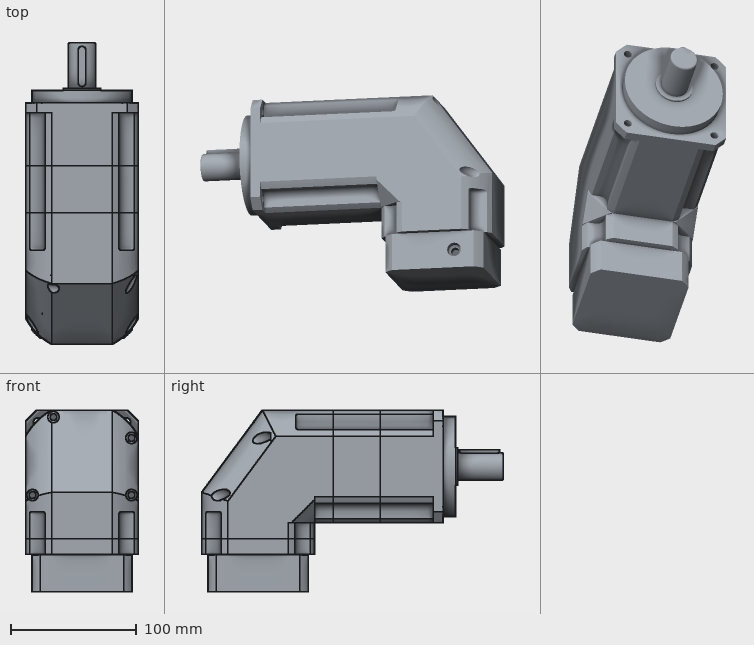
import cadquery as cq
import math


SQUARE = 90.0
HALF = SQUARE / 2
ROUND_RADIUS = 51.0

BOLT_CIRCLE_DIAMETER = 100.0
BOLT_OFFSET = BOLT_CIRCLE_DIAMETER / 2 / math.sqrt(2)
BOLT_HOLE_DIAMETER = 6.5
GROOVE_RADIUS = 6.0
GROOVE_EDGE = BOLT_OFFSET - GROOVE_RADIUS
GROOVE_END_FILLET = 2.2

SHAFT_TIP_Y = 195.5
COLLAR_FRONT_Y = SHAFT_TIP_Y - 36.3
PILOT_FRONT_Y = SHAFT_TIP_Y - 38.0
FLANGE_FRONT_Y = SHAFT_TIP_Y - 48.0
FLANGE_BACK_Y = FLANGE_FRONT_Y - 8.0
RING_FRONT_Y = SHAFT_TIP_Y - 98.0
ELBOW_FRONT_Y = SHAFT_TIP_Y - 135.75
ARM_GROOVE_END_Y = SHAFT_TIP_Y - 165.5

LEG_GROOVE_TOP_Z = -35.9
PLATE_TOP_Z = -57.5
PLATE_BOTTOM_Z = -70.0
ADAPTER_TOP_Z = PLATE_BOTTOM_Z - 0.5
ADAPTER_BOTTOM_Z = -100.0

BEVEL_TOP_Y = 3.5
BEVEL_BOTTOM_Z = -20.6
INNER_CORNER_CUT = 18.5

FLANGE_CORNER_CUT = 8.75
PILOT_DIAMETER = 80.0
COLLAR_DIAMETER = 30.0
SHAFT_DIAMETER = 22.0
SHAFT_TIP_FILLET = 1.5

KEY_WIDTH = 6.0
KEY_HEIGHT = 6.0
KEY_LENGTH = 32.0
KEY_TIP_GAP = 3.0
KEY_TOP_Z = 13.5

SCREW_CIRCLE_RADIUS = 45.5
SCREW_ANGLES = (-30, 30, 120, 210)
SCREW_HEAD_DIAMETER = 9.0
SCREW_HOLE_DIAMETER = 5.5
SCREW_SEAT_Y = 10.0

ADAPTER_SQUARE = 80.0
ADAPTER_ROUND_RADIUS = 52.0
ADAPTER_SPIGOT_DIAMETER = 70.0
ACCESS_HOLE_Y = -17.2
ACCESS_HOLE_Z = -85.5
ACCESS_HOLE_TILT = 5.0
ACCESS_HOLE_DIAMETER = 11.0
ACCESS_HOLE_DEPTH = 8.0
CLAMP_HOLE_DIAMETER = 6.5
CLAMP_HOLE_DEPTH = 16.0

REACH = 400.0


def arm_plane(y):
    """Plane across the arm, normal along +Y, with its local y axis along +Z."""
    return cq.Plane(origin=(0, y, 0), xDir=(-1, 0, 0), normal=(0, 1, 0))


def leg_plane(z):
    """Plane across the leg, normal along +Z, with its local y axis along +Y."""
    return cq.Plane(origin=(0, 0, z), xDir=(1, 0, 0), normal=(0, 0, 1))


def bevel_plane():
    """Plane across the bevel, with its local y axis pointing inward from the bevel face."""
    length = math.hypot(BEVEL_TOP_Y + HALF, HALF - BEVEL_BOTTOM_Z)
    along_y = -(BEVEL_TOP_Y + HALF) / length
    along_z = -(HALF - BEVEL_BOTTOM_Z) / length
    axis_y = BEVEL_TOP_Y - HALF * along_z
    axis_z = HALF + HALF * along_y
    start = (0, axis_y - along_y * REACH / 2, axis_z - along_z * REACH / 2)
    return cq.Plane(origin=start, xDir=(-1, 0, 0), normal=(0, along_y, along_z))


def slab(y_min, y_max, z_min, z_max):
    """Block between two Y stations and two Z stations, as wide as the housing."""
    centre = (0, (y_min + y_max) / 2, (z_min + z_max) / 2)
    return cq.Workplane("XY").box(SQUARE, y_max - y_min, z_max - z_min).translate(centre)


def rounded_bar(plane, length, square=SQUARE, round_radius=ROUND_RADIUS):
    """Square bar with its corners trimmed by a cylinder on the bar's axis."""
    bar = cq.Workplane(plane).rect(square, square).extrude(length)
    return bar.intersect(cq.Workplane(plane).circle(round_radius).extrude(length))


def outer_envelope(plane, inward):
    """Long rounded bar that is left square and open toward local y = inward * REACH."""
    fill = cq.Workplane(plane).center(0, inward * REACH / 2).rect(SQUARE, REACH).extrude(REACH)
    return rounded_bar(plane, REACH).union(fill)


def corner_groove(plane, length, x_side, y_side):
    """Cutter for one bolt groove: a square corner notch with a round inner corner."""
    rounding = GROOVE_RADIUS * (1 - math.sqrt(0.5))

    def point(x, y):
        return (x_side * x, y_side * y)

    return (
        cq.Workplane(plane)
        .moveTo(*point(SQUARE, GROOVE_EDGE))
        .lineTo(*point(BOLT_OFFSET, GROOVE_EDGE))
        .threePointArc(
            point(GROOVE_EDGE + rounding, GROOVE_EDGE + rounding),
            point(GROOVE_EDGE, BOLT_OFFSET),
        )
        .lineTo(*point(GROOVE_EDGE, SQUARE))
        .lineTo(*point(SQUARE, SQUARE))
        .close()
        .extrude(length)
    )


def make_elbow_knee():
    """Block where arm and leg meet: rounded and bevelled outside, cut at the inside corners."""
    knee = slab(-HALF, HALF, -HALF, HALF)
    knee = knee.intersect(outer_envelope(arm_plane(-REACH / 2), -1))
    knee = knee.intersect(outer_envelope(leg_plane(-REACH / 2), 1))
    knee = knee.intersect(outer_envelope(bevel_plane(), 1))
    for side in (-1, 1):
        cut_plane = cq.Plane(
            origin=(side * (HALF - INNER_CORNER_CUT), HALF, -HALF),
            xDir=(0, 1, 1),
            normal=(side, 1, -1),
        )
        knee = knee.cut(cq.Workplane(cut_plane).rect(SQUARE, SQUARE).extrude(HALF))
    return knee


def make_housing_block():
    """The whole arm, knee and leg with their bolt grooves, before it is split into bodies."""
    arm_length = FLANGE_BACK_Y - HALF
    leg_length = -HALF - PLATE_BOTTOM_Z
    block = make_elbow_knee()
    block = block.union(rounded_bar(arm_plane(HALF), arm_length))
    block = block.union(rounded_bar(leg_plane(PLATE_BOTTOM_Z), leg_length))

    for side in (-1, 1):
        arm_top = corner_groove(arm_plane(ARM_GROOVE_END_Y), FLANGE_BACK_Y - ARM_GROOVE_END_Y, side, 1)
        arm_top = arm_top.faces("<Y").edges().fillet(GROOVE_END_FILLET)
        arm_bottom = corner_groove(arm_plane(HALF), arm_length, side, -1)
        leg_back = corner_groove(leg_plane(PLATE_BOTTOM_Z), LEG_GROOVE_TOP_Z - PLATE_BOTTOM_Z, side, -1)
        leg_back = leg_back.faces(">Z").edges().fillet(GROOVE_END_FILLET)
        leg_front = corner_groove(leg_plane(PLATE_BOTTOM_Z), leg_length, side, 1)
        block = block.cut(arm_top).cut(arm_bottom).cut(leg_back).cut(leg_front)
    return block


def make_output_housing(block):
    """Front part of the arm with its mounting flange and round pilot."""
    flange = (
        cq.Workplane(arm_plane(FLANGE_BACK_Y))
        .rect(SQUARE, SQUARE)
        .extrude(FLANGE_FRONT_Y - FLANGE_BACK_Y)
        .edges("|Y")
        .chamfer(FLANGE_CORNER_CUT)
        .faces(">Y")
        .workplane()
        .rect(2 * BOLT_OFFSET, 2 * BOLT_OFFSET, forConstruction=True)
        .vertices()
        .hole(BOLT_HOLE_DIAMETER)
    )
    pilot_length = PILOT_FRONT_Y - FLANGE_FRONT_Y
    pilot = cq.Workplane(arm_plane(FLANGE_FRONT_Y)).circle(PILOT_DIAMETER / 2).extrude(pilot_length)
    barrel = block.intersect(slab(RING_FRONT_Y, FLANGE_BACK_Y, -HALF, HALF))
    return barrel.union(flange).union(pilot)


def make_ring(block):
    """Middle section of the arm."""
    return block.intersect(slab(ELBOW_FRONT_Y, RING_FRONT_Y, -HALF, HALF))


def make_elbow(block):
    """Elbow with counterbored screw holes that run through to the ring."""
    elbow = block.intersect(slab(-HALF, ELBOW_FRONT_Y, PLATE_TOP_Z, HALF))
    for angle in SCREW_ANGLES:
        x = SCREW_CIRCLE_RADIUS * math.cos(math.radians(angle))
        z = SCREW_CIRCLE_RADIUS * math.sin(math.radians(angle))
        seat = cq.Workplane("XZ", origin=(x, SCREW_SEAT_Y, z))
        head_space = seat.circle(SCREW_HEAD_DIAMETER / 2).extrude(SQUARE)
        screw_hole = seat.circle(SCREW_HOLE_DIAMETER / 2).extrude(SCREW_SEAT_Y - ELBOW_FRONT_Y)
        elbow = elbow.cut(head_space).cut(screw_hole)
    return elbow


def make_plate(block):
    """Plate at the lower end of the leg."""
    return block.intersect(slab(-HALF, HALF, PLATE_BOTTOM_Z, PLATE_TOP_Z))


def make_adapter():
    """Motor adapter with a low spigot under the plate and a stepped hole in its -X side."""
    height = ADAPTER_TOP_Z - ADAPTER_BOTTOM_Z
    adapter = rounded_bar(leg_plane(ADAPTER_BOTTOM_Z), height, ADAPTER_SQUARE, ADAPTER_ROUND_RADIUS)
    spigot = cq.Workplane(leg_plane(ADAPTER_TOP_Z)).circle(ADAPTER_SPIGOT_DIAMETER / 2)
    adapter = adapter.union(spigot.extrude(PLATE_BOTTOM_Z - ADAPTER_TOP_Z))

    tilt = math.radians(ACCESS_HOLE_TILT)
    mouth = cq.Vector(-ADAPTER_SQUARE / 2, ACCESS_HOLE_Y, ACCESS_HOLE_Z)
    inward = cq.Vector(math.cos(tilt), math.sin(tilt), 0)
    lead = ACCESS_HOLE_DIAMETER * math.tan(tilt)
    start = mouth - inward * lead
    for diameter, depth in (
        (ACCESS_HOLE_DIAMETER, ACCESS_HOLE_DEPTH),
        (CLAMP_HOLE_DIAMETER, CLAMP_HOLE_DEPTH),
    ):
        adapter = adapter.cut(
            cq.Workplane(cq.Solid.makeCylinder(diameter / 2, depth + lead, start, inward))
        )
    return adapter


def make_key():
    """Round-ended parallel key along the shaft."""
    key_centre_y = SHAFT_TIP_Y - KEY_TIP_GAP - KEY_LENGTH / 2
    return (
        cq.Workplane(leg_plane(KEY_TOP_Z - KEY_HEIGHT))
        .center(0, key_centre_y)
        .slot2D(KEY_LENGTH, KEY_WIDTH, 90)
        .extrude(KEY_HEIGHT)
    )


def make_shaft(key_body):
    """Output shaft with a collar at the pilot and a keyway that fits the key."""
    base = cq.Workplane(arm_plane(PILOT_FRONT_Y))
    shaft = base.circle(SHAFT_DIAMETER / 2).extrude(SHAFT_TIP_Y - PILOT_FRONT_Y)
    shaft = shaft.faces(">Y").edges().fillet(SHAFT_TIP_FILLET)
    collar = base.circle(COLLAR_DIAMETER / 2).extrude(COLLAR_FRONT_Y - PILOT_FRONT_Y)
    return shaft.union(collar).cut(key_body)


housing_block = make_housing_block()
output_housing = make_output_housing(housing_block)
ring = make_ring(housing_block)
elbow = make_elbow(housing_block)
plate = make_plate(housing_block)
adapter = make_adapter()
key = make_key()
shaft = make_shaft(key)

bodies = [output_housing, ring, elbow, plate, adapter, shaft, key]
result = cq.Compound.makeCompound([body.val() for body in bodies])